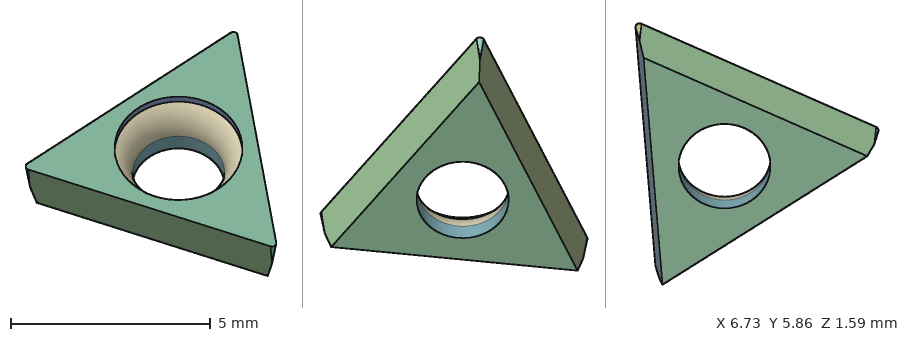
import cadquery as cq
import math

overall_width = 6.73
thickness = 1.59
relief_angle = 7.0
corner_radius = 0.11

rim_radius = 1.6
rim_depth = 0.215
seat_radius = 1.0
bore_radius = 1.15

center_spacing = overall_width - 2 * corner_radius
corner_center_distance = center_spacing / math.sqrt(3)
inscribed_radius = corner_center_distance / 2 + corner_radius
sharp_corner_distance = 2 * inscribed_radius
relief_slope = math.tan(math.radians(relief_angle))
cone_depth = corner_radius / relief_slope
corner_angles = (90, 210, 330)
corner_arc = 120


def polar(distance, angle):
    """Point at a distance and an angle in degrees from the hole axis."""
    radians = math.radians(angle)
    return (distance * math.cos(radians), distance * math.sin(radians))


def tapered_body():
    """Sharp-cornered triangle, largest at the top face."""
    outline = [polar(sharp_corner_distance, angle) for angle in corner_angles]
    return (
        cq.Workplane("XY", origin=(0, 0, thickness))
        .polyline(outline).close()
        .extrude(-thickness, taper=relief_angle)
    )


def corner_wedge(angle):
    """Sharp corner region to remove, spanning the angle of the corner arc."""
    reach = 6 * corner_radius
    half_arc = corner_arc / 2
    wedge_points = [(0, 0), polar(reach, angle - half_arc), polar(reach, angle + half_arc)]
    center_x, center_y = polar(corner_center_distance, angle)
    return (
        cq.Workplane("XY", origin=(center_x, center_y, thickness))
        .polyline(wedge_points).close()
        .extrude(-cone_depth)
    )


def corner_cone(angle):
    """Cone sector that rounds the corner and narrows to its sharp lower edge."""
    center_x, center_y = polar(corner_center_distance, angle)
    cone = cq.Solid.makeCone(0, corner_radius, cone_depth, angleDegrees=corner_arc)
    return (
        cq.Workplane(obj=cone)
        .rotate((0, 0, 0), (0, 0, 1), angle - corner_arc / 2)
        .translate((center_x, center_y, thickness - cone_depth))
    )


def hole_cutter():
    """Revolved hole whose convex seat runs tangent into the bore."""
    seat_center_radius = bore_radius + seat_radius
    seat_top = thickness - rim_depth
    rim_offset = seat_center_radius - rim_radius
    seat_bottom = seat_top - math.sqrt(seat_radius**2 - rim_offset**2)
    seat_end_angle = math.atan2(seat_top - seat_bottom, rim_offset)
    seat_middle = (
        seat_center_radius - seat_radius * math.cos(seat_end_angle / 2),
        seat_bottom + seat_radius * math.sin(seat_end_angle / 2),
    )
    return (
        cq.Workplane("XZ")
        .moveTo(0, 0)
        .lineTo(bore_radius, 0)
        .lineTo(bore_radius, seat_bottom)
        .threePointArc(seat_middle, (rim_radius, seat_top))
        .lineTo(rim_radius, thickness)
        .lineTo(0, thickness)
        .close()
        .revolve(360, (0, 0, 0), (0, 1, 0))
    )


result = tapered_body()
for corner_angle in corner_angles:
    result = result.cut(corner_wedge(corner_angle))
    result = result.union(corner_cone(corner_angle))
result = result.cut(hole_cutter())